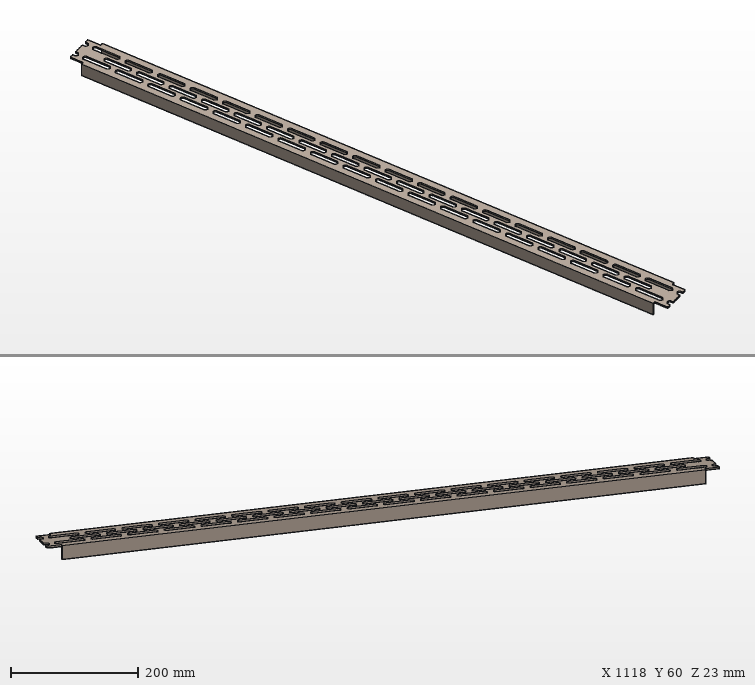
import cadquery as cq

length = 1118.0
width = 60.0
height = 23.0
sheet = 3.0

flange_length = 1070.0
tongue_width = 50.0

slot_length = 50.0
slot_width = 8.4
bridge = 10.5
rib = 6.0
outer_slots = 18
middle_slots = outer_slots - 1
notch_depth = 8.0

slot_pitch = slot_length + bridge
row_spacing = slot_width + rib


def folded_channel():
    """Downward-opening U of folded sheet with its top face at Z = 0."""
    outer = cq.Workplane("XY", origin=(0, 0, -height / 2)).box(flange_length, width, height)
    inner = outer.workplane(offset=-sheet).box(
        flange_length, width - 2 * sheet, height, combine=False
    )
    return outer.cut(inner)


def tongue_plate():
    """Narrower plate running the full length, projecting past the flanges as end tongues."""
    return cq.Workplane("XY", origin=(0, 0, -sheet / 2)).box(length, tongue_width, sheet)


def slots(y, pitch, count):
    """Cutters for one row of round-ended slots centred on X = 0."""
    return (
        cq.Workplane("XY", origin=(0, y, -sheet))
        .rarray(pitch, 11, count, 1)
        .slot2D(slot_length, slot_width)
        .extrude(sheet)
    )


notch_distance = length + slot_length - 2 * notch_depth

result = folded_channel().union(tongue_plate())
result = result.cut(slots(0, slot_pitch, middle_slots))
for y in (-row_spacing, row_spacing):
    result = result.cut(slots(y, slot_pitch, outer_slots))
    result = result.cut(slots(y, notch_distance, 2))